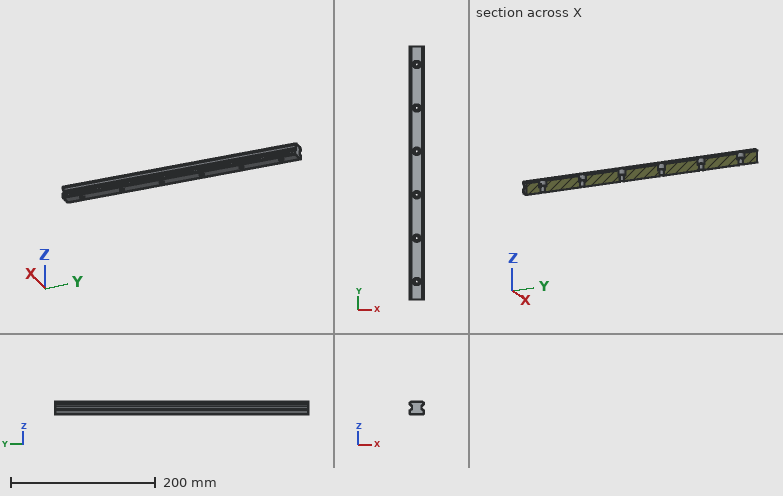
import cadquery as cq
import math

width = 20.0
length = 350.0
height = 17.5

slope_angle = math.radians(40)
head_bevel_width = 2.5
head_lip_bottom = 14.3
foot_lip_top = 5.0
groove_depth = 3.25
foot_chamfer = 1.5

hole_count = 6
hole_pitch = 60.0
hole_diameter = 6.0
counterbore_diameter = 10.0
counterbore_depth = 8.5


def rail_body():
    """Extrude the symmetric cross-section along Y, with its base on Z = 0."""
    half_width = width / 2
    waist = half_width - groove_depth
    bevel_height = head_bevel_width * math.tan(slope_angle)
    foot_slope_height = groove_depth * math.tan(slope_angle)
    right_side = [
        (half_width - foot_chamfer, 0),
        (half_width, foot_chamfer),
        (half_width, foot_lip_top),
        (waist, foot_lip_top + foot_slope_height),
        (waist, head_lip_bottom - groove_depth),
        (half_width, head_lip_bottom),
        (half_width, height - bevel_height),
        (half_width - head_bevel_width, height),
    ]
    left_side = [(-x, z) for x, z in reversed(right_side)]
    profile = cq.Workplane("XZ").polyline(right_side + left_side).close()
    return profile.extrude(length / 2, both=True)


def cut_mounting_holes(body):
    """Cut the row of counterbored through holes from the top face."""
    first_hole = -hole_pitch * (hole_count - 1) / 2
    centres = [(0, first_hole + i * hole_pitch) for i in range(hole_count)]
    top_plane = body.faces(">Z").workplane(origin=(0, 0, height))
    return top_plane.pushPoints(centres).cboreHole(hole_diameter, counterbore_diameter, counterbore_depth)


result = cut_mounting_holes(rail_body())